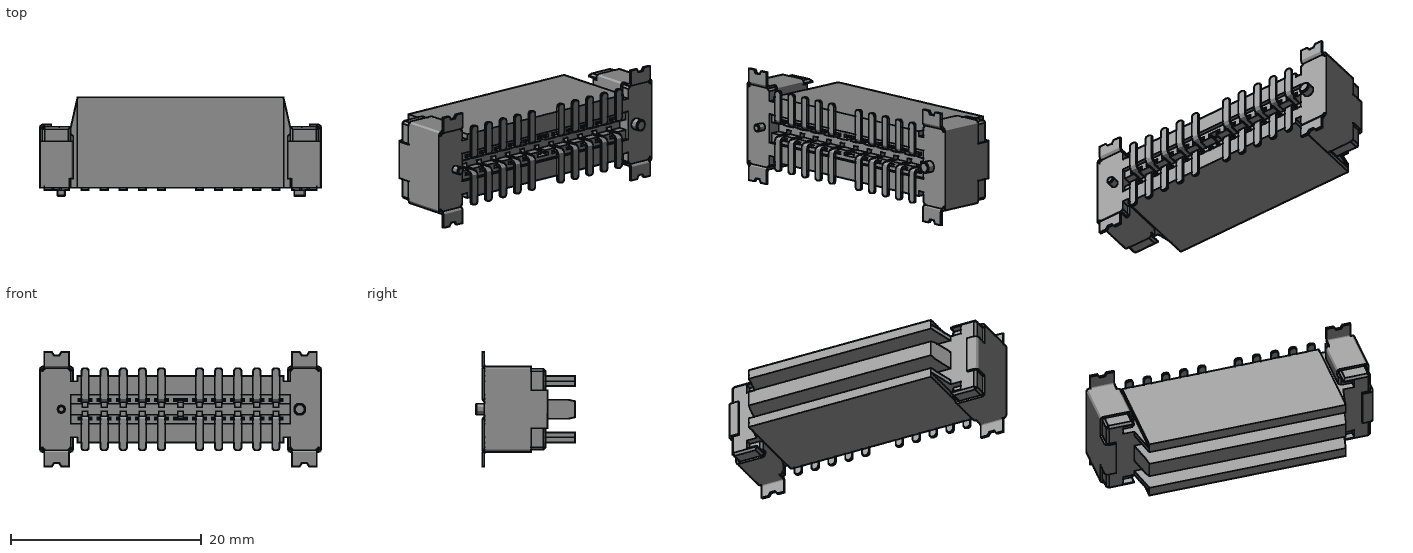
import cadquery as cq


overall_length = 29.51
overall_height = 12.04
body_depth = 9.5
post_length = 0.9
sheet = 0.25

body_half_length = 10.8
body_half_height = 3.5
core_half_length = 11.5
core_half_height = 2.95
taper_start = 6.4
cavity_floor = 6.4
wall_inner_z = 2.43
tongue_half_height = 1.02
tongue_tip_half_height = 0.85
tongue_tip_length = 0.75

clip_outer_x = overall_length / 2
clip_inner_x = core_half_length - sheet
clip_half_height = 4.5
clip_radius = 0.4
clip_depth = 4.88
block_depth = 6.4
block_chamfer = 0.25
block_notch_depth = 1.2
block_notch_top = 3.9
side_wall_front = 0.95
side_tongue_depth = 5.65
side_tongue_bevel = 0.25
flap_half_height = 2.0
flap_length = 1.22
flap_radius = 0.4

tab_center_x = 12.99
tab_width = 2.63
tab_bend_radius = 0.4
notch_width = 1.0
notch_floor_width = 0.55
notch_depth = 0.37

post_x = 12.5
small_post_diameter = 0.8
large_post_diameter = 1.2
post_chamfer = 0.1

recess_half_height = 1.54
recess_depth = 0.4
groove_half_height = 0.57
groove_depth = 1.4

pitch = 2.0
contacts_per_side = 5
contact_inner_z = 0.71
contact_depth = 2.0
blade_width = 1.1
blade_front = 0.9
slot_width = 1.42
slot_inner_z = 0.84
slot_outer_z = 1.12
arm_slot_width = 0.6
arm_slot_inner_z = 0.2
lead_width = 0.8
lead_tip_z = 4.32
lead_tip_radius = 0.35
lead_bend_radius = 0.5


def box(x_range, y_range, z_range):
    """Axis-aligned box spanning the given ranges."""
    (x0, x1), (y0, y1), (z0, z1) = x_range, y_range, z_range
    return cq.Workplane("XY").box(x1 - x0, y1 - y0, z1 - z0, centered=False).translate((x0, y0, z0))


def centered_box(half_length, y_range, half_height):
    """Box symmetric about X = 0 and Z = 0."""
    return box((-half_length, half_length), y_range, (-half_height, half_height))


def both_rows(shape):
    """The shape together with its mirror image across Z = 0."""
    return shape.union(shape.mirror("XY"))


def make_body():
    """Tapered core with a top and bottom wall, open between the walls and the central tongue."""
    core = (
        cq.Workplane("XY")
        .polyline([
            (-core_half_length, 0),
            (core_half_length, 0),
            (core_half_length, taper_start),
            (body_half_length, body_depth),
            (-body_half_length, body_depth),
            (-core_half_length, taper_start),
        ])
        .close()
        .extrude(core_half_height, both=True)
    )
    body = core.union(centered_box(body_half_length, (0, body_depth), body_half_height))
    cavity = centered_box(core_half_length, (cavity_floor, body_depth), wall_inner_z)
    tip_start = body_depth - tongue_tip_length
    tongue = (
        cq.Workplane("YZ")
        .polyline([
            (cavity_floor, -tongue_half_height),
            (tip_start, -tongue_half_height),
            (body_depth, -tongue_tip_half_height),
            (body_depth, tongue_tip_half_height),
            (tip_start, tongue_half_height),
            (cavity_floor, tongue_half_height),
        ])
        .close()
        .extrude(core_half_length, both=True)
    )
    return body.cut(cavity.cut(tongue))


def make_block():
    """Plastic block inside the right-hand clip, notched twice at its rear corner next to the body."""
    half_height = clip_half_height - sheet
    block = box((core_half_length, clip_outer_x - sheet), (0, block_depth), (-half_height, half_height))
    notch = box(
        (core_half_length, core_half_length + block_notch_depth),
        (side_tongue_depth, block_depth),
        (core_half_height, block_notch_top),
    )
    return block.edges("|Y or (>Y and |X) or (>Y and >X)").chamfer(block_chamfer).cut(both_rows(notch))


def make_shell():
    """Sheet-metal sleeve around the right-hand block, with its rear flap folded over."""
    half_height = clip_half_height
    inner_half_height = half_height - sheet
    outer = box((clip_inner_x, clip_outer_x), (0, clip_depth), (-half_height, half_height))
    hollow = box(
        (core_half_length, clip_outer_x - sheet), (0, clip_depth), (-inner_half_height, inner_half_height)
    )
    sleeve = outer.edges("|Y").fillet(clip_radius).cut(hollow.edges("|Y").fillet(clip_radius - sheet))

    tab_inner_x = tab_center_x - tab_width / 2
    relief = box((clip_inner_x, tab_inner_x), (0, side_wall_front), (-half_height, half_height))
    window = box((clip_inner_x, core_half_length), (0, clip_depth), (-core_half_height, core_half_height))
    sleeve = sleeve.cut(relief).cut(window)

    tongue = (
        cq.Workplane("XY", origin=(0, 0, core_half_height))
        .polyline([
            (clip_inner_x, clip_depth),
            (core_half_length, clip_depth),
            (core_half_length, side_tongue_depth),
            (clip_inner_x, side_tongue_depth - side_tongue_bevel),
        ])
        .close()
        .extrude(block_notch_top - core_half_height)
    )

    flap_rear = block_depth + sheet
    flap = box(
        (clip_outer_x - flap_length, clip_outer_x),
        (clip_depth, flap_rear),
        (-flap_half_height, flap_half_height),
    )
    flap = flap.edges(">X and >Y").fillet(flap_radius)
    flap = flap.cut(
        box((0, clip_outer_x - sheet), (0, block_depth), (-half_height, half_height))
        .edges(">X and >Y")
        .fillet(flap_radius - sheet)
    )
    return sleeve.union(both_rows(tongue)).union(flap)


def bent_strip(x_center, width, inner_z, rear_y, tip_z, radius):
    """Strip running towards -Y along its inner face, then bent outwards to tip_z in front of Y = 0."""
    front_y = -sheet
    bend_y = front_y + radius
    bend_z = inner_z + radius
    inside = radius - sheet
    return (
        cq.Workplane("YZ", origin=(x_center, 0, 0))
        .moveTo(rear_y, inner_z)
        .lineTo(bend_y, inner_z)
        .radiusArc((front_y, bend_z), radius)
        .lineTo(front_y, tip_z)
        .lineTo(0, tip_z)
        .lineTo(0, bend_z)
        .radiusArc((bend_y, bend_z - inside), -inside)
        .lineTo(rear_y, inner_z + sheet)
        .close()
        .extrude(width / 2, both=True)
    )


def make_tabs():
    """Upper and lower solder tabs of the right-hand clip, each with a notch in its tip."""
    tip_z = overall_height / 2
    tab = bent_strip(
        tab_center_x, tab_width, clip_half_height - sheet, side_wall_front, tip_z, tab_bend_radius
    )
    notch = (
        cq.Workplane("XZ", origin=(tab_center_x, 0, 0))
        .polyline([
            (-notch_width / 2, tip_z),
            (-notch_floor_width / 2, tip_z - notch_depth),
            (notch_floor_width / 2, tip_z - notch_depth),
            (notch_width / 2, tip_z),
        ])
        .close()
        .extrude(sheet, both=True)
    )
    return both_rows(tab.cut(notch))


def make_post(x, diameter):
    """Round locating post on the solder side with a chamfered end."""
    post = cq.Workplane("XZ", origin=(x, 0, 0)).circle(diameter / 2).extrude(post_length)
    return post.faces("<Y").chamfer(post_chamfer)


def make_contact_slot(x):
    """T-shaped pair of openings for the contacts at position x."""
    half_slot = slot_width / 2
    half_arm = arm_slot_width / 2
    slot = box((x - half_slot, x + half_slot), (0, contact_depth), (slot_inner_z, slot_outer_z))
    arm = box((x - half_arm, x + half_arm), (0, contact_depth), (arm_slot_inner_z, slot_inner_z))
    return both_rows(slot.union(arm))


def make_blade(x):
    """Pair of contact blades seated inside the slots at position x."""
    half_width = blade_width / 2
    z_range = (contact_inner_z, contact_inner_z + sheet)
    return both_rows(box((x - half_width, x + half_width), (blade_front, contact_depth), z_range))


def make_lead(x):
    """Pair of bent solder leads with rounded tips at position x."""
    lead = bent_strip(x, lead_width, contact_inner_z, contact_depth, lead_tip_z, lead_bend_radius)
    return both_rows(lead.edges("|Y and >Z").fillet(lead_tip_radius))


clip = make_block().union(make_shell()).union(make_tabs())
result = make_body().union(clip).union(clip.mirror("YZ"))
result = result.union(make_post(-post_x, small_post_diameter))
result = result.union(make_post(post_x, large_post_diameter))

result = result.cut(centered_box(core_half_length, (0, recess_depth), recess_half_height))
result = result.cut(centered_box(core_half_length, (0, groove_depth), groove_half_height))

for index in range(-contacts_per_side, contacts_per_side + 1):
    contact_x = index * pitch
    result = result.cut(make_contact_slot(contact_x)).union(make_blade(contact_x))
    if index != 0:
        result = result.union(make_lead(contact_x))